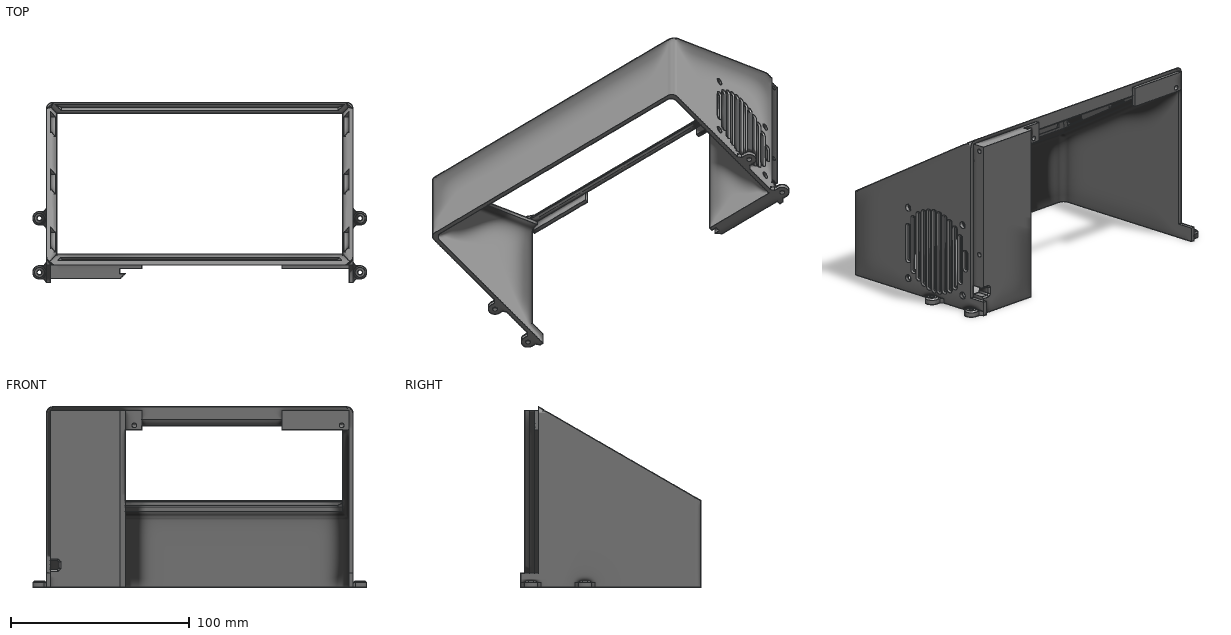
import cadquery as cq
import math

overall_width = 186.8
width = 171.5
depth = 100.8
height = 101.0
wall = 2.2
corner_radius = 3.7
inner_radius = 3.7
slope_angle = 30.0
foot_length = 9.9
foot_height = 8.0

side_inset = 5.8
end_inset = 6.2
funnel_depth = 6.2
lip_thickness = 2.2
funnel_corner = 4.1
groove_depth = 4.7
groove_half_length = 77.3
groove_start = 1.1
front_groove_start = 2.6
front_groove_end = 4.1
slot_depth = 5.5
slot_length = 12.7
slot_middles = (25.8, 58.3, 90.4)

front_gap = 2.2
column_right = -41.6
column_step = 3.0
nose_depth = 2.8
tab_thickness = 2.0
front_top = 99.0
tab_bottom = 88.1
left_tab_end = -32.3
right_tab_start = 46.0
tab_dimple_height = 90.5
tab_dimple_xs = (-36.6, 79.4)
dimple_diameter = 2.6
dimple_depth = 1.3
dimple_y = 5.5
dimple_heights = (95.8, 34.4)
notch_width = 5.8
notch_bottom = 9.0
notch_top = 15.9
notch_bevel = 1.0
notch_chamfer = 1.5

fan_y = 37.2
fan_z = 29.0
grille_radius = 24.8
slit_span = 43.9
slit_width = 2.0
slit_chamfer = 1.0
slit_count = 12
first_slit_offset = 21.0
fan_hole_spacing = 41.8
fan_hole_diameter = 4.0

ear_radius = 3.7
ear_thickness = 3.5
ear_chamfer = 1.0
ear_ys = (36.0, 5.8)
ear_hole_diameter = 2.6
ear_flare_height = 1.9
ear_flare_length = 1.5

half_width = width / 2
inner_half = half_width - wall
column_left = -inner_half
slope = math.radians(slope_angle)
run = depth - foot_length
slope_length = run / math.cos(slope)
back_height = height - run * math.tan(slope)
window_half = half_width - side_inset
window_front = foot_length + end_inset
window_back = depth - end_inset
ear_x = overall_width / 2 - ear_radius
slit_pitch = slit_span / (slit_count - 1)
margin = 9.3


def box(x0, x1, y0, y1, z0, z1):
    """Axis-aligned box between opposite corners."""
    return cq.Workplane("XY").box(x1 - x0, y1 - y0, z1 - z0, centered=False).translate((x0, y0, z0))


def side_prism(points, x0, x1):
    """Prism along X from a (Y, Z) outline."""
    return cq.Workplane("YZ").polyline(points).close().extrude(x1 - x0).translate((x0, 0, 0))


def slope_height(y, below=0.0):
    """Z of the sloped plane lying `below` the lid, measured square to it."""
    return height - (y - foot_length) * math.tan(slope) - below / math.cos(slope)


def along_slope(y, below):
    """Distance down the slope from its front edge to the point at Y on a sunken plane."""
    return (y - foot_length + below * math.sin(slope)) / math.cos(slope)


def point_on_slope(u, below):
    """(Y, Z) of a point given by its distance down the slope and its depth under it."""
    y = foot_length + u * math.cos(slope) - below * math.sin(slope)
    return y, slope_height(y, below)


lid_plane = cq.Plane(
    origin=(0, foot_length, height), xDir=(1, 0, 0), normal=(0, math.sin(slope), math.cos(slope))
)


def lid_rectangle(half_x, y0, y1, below):
    """Rectangle on a plane parallel to the lid, between two Y places."""
    u0 = along_slope(y0, below)
    u1 = along_slope(y1, below)
    corners = [(-half_x, u0), (half_x, u0), (half_x, u1), (-half_x, u1)]
    points = [lid_plane.toWorldCoords((x, u, -below)) for x, u in corners]
    return cq.Wire.makePolygon(points, close=True)


def outer_body():
    block = box(-half_width, half_width, foot_length, depth, 0, height)
    rounded_top = block.edges("|Y and >Z").fillet(corner_radius)
    rounded_back = block.edges("|Z and >Y").fillet(corner_radius)
    above_lid = [
        (foot_length, height),
        (depth, back_height),
        (depth + margin, back_height),
        (depth + margin, height + margin),
        (foot_length, height + margin),
    ]
    body = rounded_top.intersect(rounded_back)
    body = body.cut(side_prism(above_lid, -half_width, half_width))
    return body.union(box(-half_width, half_width, 0, foot_length, 0, foot_height))


def cavity():
    below = funnel_depth + lip_thickness
    back = depth - wall
    outline = [
        (-margin, -margin),
        (back, -margin),
        (back, slope_height(back, below)),
        (-margin, slope_height(-margin, below)),
    ]
    room = side_prism(outline, -inner_half, inner_half)
    top_edges = room.faces(">Z").edges("not(<Y)")
    return room.edges("|Z and >Y").add(top_edges).fillet(inner_radius)


def window():
    funnel = cq.Solid.makeLoft(
        [
            lid_rectangle(half_width, foot_length, depth, 0),
            lid_rectangle(window_half, window_front, window_back, funnel_depth),
        ],
        True,
    )
    corner_limit = (
        cq.Workplane(lid_plane)
        .center(0, slope_length / 2)
        .rect(width, slope_length)
        .extrude(-funnel_depth)
        .edges(cq.selectors.ParallelDirSelector(lid_plane.zDir))
        .chamfer(funnel_corner)
    )
    funnel = corner_limit.intersect(cq.Workplane(funnel))
    opening = box(-window_half, window_half, window_front, window_back, back_height - margin, height)
    return opening.union(funnel)


def front_bar_relief():
    """Thins the front bar so that its underside starts at the foot of the funnel."""
    below = funnel_depth
    outline = [
        (0, slope_height(0, below)),
        (window_front, slope_height(window_front, below)),
        (window_front, slope_height(window_front, below) - margin),
        (0, slope_height(0, below) - margin),
    ]
    return side_prism(outline, -window_half, window_half)


def flared_ends(outline):
    """Prism along X from a (Y, Z) outline, its ends splayed at 45 degrees towards the lid."""
    top_half_length = groove_half_length + groove_depth
    bottom_half_length = top_half_length - funnel_depth
    splay = (
        cq.Workplane(cq.Plane(lid_plane.origin, xDir=(1, 0, 0), normal=-lid_plane.yDir))
        .polyline(
            [
                (-bottom_half_length, -funnel_depth),
                (bottom_half_length, -funnel_depth),
                (top_half_length, 0),
                (-top_half_length, 0),
            ]
        )
        .close()
        .extrude(-slope_length)
    )
    return side_prism(outline, -half_width, half_width).intersect(splay)


def back_groove():
    wall_u = along_slope(depth - groove_start, groove_start)
    outline = [
        point_on_slope(wall_u, groove_depth),
        point_on_slope(wall_u, groove_start),
        point_on_slope(wall_u - margin, groove_start),
        point_on_slope(wall_u - margin, groove_depth),
    ]
    return flared_ends(outline)


def front_groove():
    opening_end = (foot_length + front_groove_end, height - front_groove_end * math.tan(2 * slope))
    opening_start = (foot_length + front_groove_start, height - front_groove_start * math.tan(2 * slope))
    root = (opening_start[0], opening_end[1] - (opening_end[0] - opening_start[0]) * math.tan(slope))
    return flared_ends([opening_end, opening_start, root])


def side_slots():
    """Slots in the side rims; their end walls lean to the front by the slope angle."""
    slots = cq.Workplane()
    lean = (slot_depth - wall) * math.tan(slope)
    for middle in slot_middles:
        u = along_slope(middle, wall)
        outline = [
            point_on_slope(u - slot_length / 2, wall),
            point_on_slope(u + slot_length / 2, wall),
            point_on_slope(u + slot_length / 2 - lean, slot_depth),
            point_on_slope(u - slot_length / 2 - lean, slot_depth),
        ]
        slots = slots.add(side_prism(outline, -inner_half, -window_half))
        slots = slots.add(side_prism(outline, window_half, inner_half))
    return slots.combine()


def column():
    back_of_groove = foot_length - tab_thickness
    nose = front_gap + nose_depth
    outline = [
        (column_left, foot_length),
        (column_left, front_gap),
        (column_right - column_step, front_gap),
        (column_right, nose),
        (column_right - column_step, nose),
        (column_right - column_step, back_of_groove),
        (column_right, back_of_groove),
        (column_right, foot_length),
    ]
    body = cq.Workplane("XY").polyline(outline).close().extrude(front_top)
    for z in dimple_heights:
        body = body.cut(dimple((column_left, dimple_y, z), (1, 0, 0)))
    return body.cut(cable_notch())


def cable_notch():
    """Passage along the column's left side, with its corners chamfered and its mouth bevelled."""
    left = column_left - notch_bevel
    right = column_left + notch_width
    outline = [
        (left, notch_bottom),
        (right - notch_chamfer, notch_bottom),
        (right, notch_bottom + notch_chamfer),
        (right, notch_top - notch_chamfer),
        (right - notch_chamfer, notch_top),
        (left, notch_top),
    ]
    front = cq.Workplane("XZ", origin=(0, front_gap, 0)).polyline(outline).close()
    mouth = front.extrude(-notch_bevel, taper=45)
    passage = mouth.faces(">Y").wires().toPending().extrude(-(foot_length - front_gap))
    return mouth.union(passage)


def dimple(point, direction):
    """Conical dimple sunk from a point along a direction."""
    cone = cq.Solid.makeCone(dimple_diameter / 2, 0, dimple_depth, cq.Vector(*point), cq.Vector(*direction))
    return cq.Workplane(cone)


def tab(x0, x1, dimple_x):
    front = foot_length - tab_thickness
    plate = box(x0, x1, front, foot_length, tab_bottom, front_top)
    return plate.cut(dimple((dimple_x, front, tab_dimple_height), (0, 1, 0)))


def slit(y, half_length):
    """One ventilation slit with rounded ends and a chamfered outer mouth."""
    plane = cq.Workplane("YZ", origin=(-half_width, y, fan_z))
    mouth = slit_width + 2 * slit_chamfer
    through = plane.slot2D(2 * half_length - 2 * slit_chamfer, slit_width, 90).extrude(wall)
    bevel = plane.slot2D(2 * half_length, mouth, 90).extrude(slit_chamfer, taper=45)
    return through.union(bevel)


def fan_grille():
    cuts = cq.Workplane()
    for i in range(slit_count):
        offset = first_slit_offset - i * slit_pitch
        half_length = math.sqrt(grille_radius**2 - (abs(offset) + slit_width / 2) ** 2)
        cuts = cuts.add(slit(fan_y + offset, half_length))
    holes = (
        cq.Workplane("YZ", origin=(-half_width, fan_y, fan_z))
        .rect(fan_hole_spacing, fan_hole_spacing, forConstruction=True)
        .vertices()
        .circle(fan_hole_diameter / 2)
        .extrude(wall)
    )
    return cuts.add(holes)


def ear(y, side):
    """Round ear with a chamfered top, on a lower arm that flares where it meets the wall."""
    base = ear_x - half_width
    flare_start = base - ear_flare_length
    root = base + wall
    flare = ear_radius + ear_flare_height
    outline = [
        (0, ear_radius),
        (flare_start, ear_radius),
        (base, flare),
        (root, flare),
        (root, -flare),
        (base, -flare),
        (flare_start, -ear_radius),
        (0, -ear_radius),
    ]
    arm = cq.Workplane("XY").polyline(outline).close().extrude(ear_thickness - ear_chamfer)
    disc = cq.Workplane("XY").circle(ear_radius).extrude(ear_thickness).faces(">Z").chamfer(ear_chamfer)
    body = disc.union(arm)
    body = body.cut(cq.Workplane("XY").circle(ear_hole_diameter / 2).extrude(ear_thickness))
    if side > 0:
        body = body.mirror("YZ")
    return body.translate((side * ear_x, y, 0))


result = outer_body().cut(cavity()).cut(window()).cut(front_bar_relief())
result = result.cut(back_groove()).cut(front_groove()).cut(side_slots())
result = result.union(column())
result = result.union(tab(column_right, left_tab_end, tab_dimple_xs[0]))
result = result.union(tab(right_tab_start, inner_half, tab_dimple_xs[1]))
for cutter in fan_grille().vals():
    result = result.cut(cq.Workplane(cutter))
for ear_y in ear_ys:
    for ear_side in (-1, 1):
        result = result.union(ear(ear_y, ear_side))